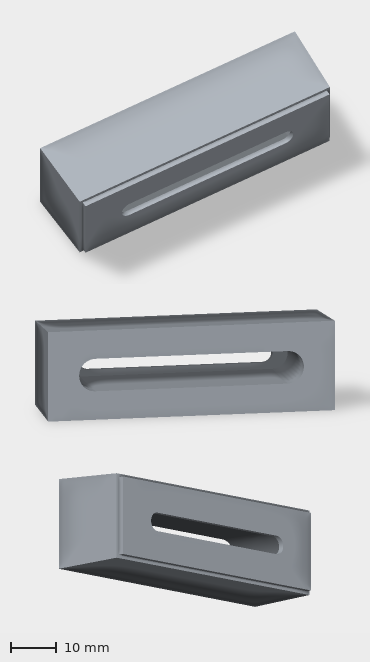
import cadquery as cq
import math

body_length = 64.0
body_height = 19.9
body_depth = 16.5
draft_angle = 2.0

lip_thickness = 1.2
lip_step = 0.8

pocket_length = 50.2
pocket_width = 7.2
pocket_draft_angle = 0.5

slot_length = 43.1
slot_width = 4.1

total_depth = body_depth + lip_thickness
small_face_inset = body_depth * math.tan(math.radians(draft_angle))
lip_inset = small_face_inset + lip_step


def face_plane(x):
    """Sketch plane across X, with its normal along +X."""
    return cq.Workplane("YZ", origin=(x, 0, 0))


def make_body():
    return face_plane(0).rect(body_length, body_height).extrude(body_depth, taper=draft_angle)


def make_lip():
    lip_length = body_length - 2 * lip_inset
    lip_height = body_height - 2 * lip_inset
    return face_plane(body_depth).rect(lip_length, lip_height).extrude(lip_thickness)


def make_pocket():
    outline = face_plane(0).slot2D(pocket_length, pocket_width)
    return outline.extrude(body_depth, taper=pocket_draft_angle)


def make_slot():
    return face_plane(0).slot2D(slot_length, slot_width).extrude(total_depth)


result = make_body().union(make_lip()).cut(make_pocket()).cut(make_slot())